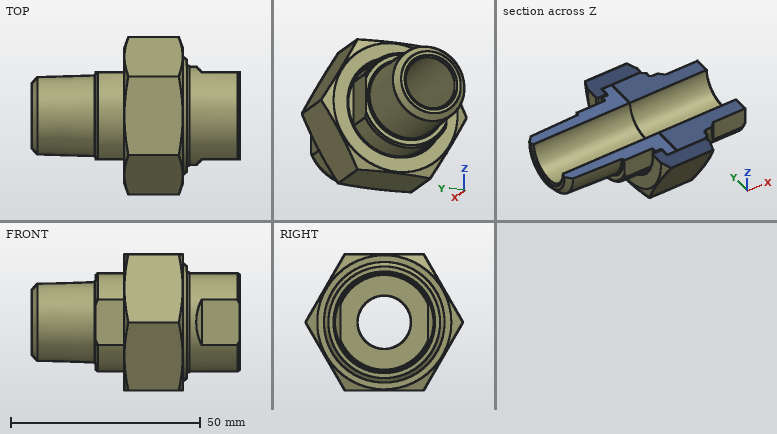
import cadquery as cq
import math


total_length = 55.0
bore_radius = 14.0 / 2
collar_radius = 26.0 / 2
flange_radius = 31.85 / 2
spanner_width = 23.05

nut_start = 24.4
nut_end = 40.0
nut_width = 36.0
nut_corner_radius = nut_width / 2 / math.cos(math.radians(30))
nut_face_radius = 17.7
nut_chamfer_angle = 20.0
nut_bore_radius = 26.5 / 2
nut_bore_chamfer = 0.5
nut_shoulder_x = 27.5

flange_end = 30.8
taper_start = 1.55
taper_end = 16.55
tip_radius = 8.5
taper_start_radius = 10.25
taper_end_radius = 10.65
collar_start = 16.95
taper_root_radius = 11.05
tail_chamfer = 0.55
tail_flat_end = 25.75
bore_chamfer = 0.5

rim_chamfer_length = 1.3
rim_end = 41.0
rim_end_radius = 29.5 / 2
neck_end = 41.75
neck_root_radius = 13.4
body_chamfer_length = 0.7
body_chamfer_height = 0.5
body_flat_start = 44.95


def revolve_profile(points):
    """Turn a closed (x, radius) outline around the X axis."""
    return cq.Workplane("XY").polyline(points).close().revolve(360, (0, 0, 0), (1, 0, 0))


def flat_cutters(outline):
    """Extrude an (x, y) outline through Z, with its mirror image on the -Y side."""
    cutter = cq.Workplane("XY").polyline(outline).close().extrude(total_length, both=True)
    return cutter.union(cutter.mirror("XZ"))


def make_tail_piece():
    turned = revolve_profile([
        (0, bore_radius + bore_chamfer),
        (0, tip_radius),
        (taper_start, taper_start_radius),
        (taper_end, taper_end_radius),
        (collar_start, taper_root_radius),
        (collar_start, collar_radius - tail_chamfer),
        (collar_start + tail_chamfer, collar_radius),
        (nut_shoulder_x, collar_radius),
        (nut_shoulder_x, flange_radius),
        (flange_end, flange_radius),
        (flange_end, bore_radius),
        (bore_chamfer, bore_radius),
    ])
    flats = flat_cutters([
        (taper_end, spanner_width / 2),
        (tail_flat_end, spanner_width / 2),
        (tail_flat_end, flange_radius),
        (taper_end, flange_radius),
    ])
    return turned.cut(flats)


def make_union_body():
    turned = revolve_profile([
        (flange_end, bore_radius),
        (flange_end, flange_radius),
        (rim_end - rim_chamfer_length, flange_radius),
        (rim_end, rim_end_radius),
        (rim_end, neck_root_radius),
        (neck_end, collar_radius),
        (total_length - body_chamfer_length, collar_radius),
        (total_length, collar_radius - body_chamfer_height),
        (total_length, bore_radius),
    ])
    flat_depth = collar_radius - spanner_width / 2
    flats = flat_cutters([
        (body_flat_start, spanner_width / 2),
        (total_length, spanner_width / 2),
        (total_length, collar_radius),
        (body_flat_start - flat_depth, collar_radius),
    ])
    return turned.cut(flats)


def make_nut():
    hexagon = (
        cq.Workplane("YZ", origin=(nut_start, 0, 0))
        .polygon(6, 2 * nut_corner_radius)
        .extrude(nut_end - nut_start)
    )
    chamfer_length = (nut_corner_radius - nut_face_radius) * math.tan(math.radians(nut_chamfer_angle))
    envelope = revolve_profile([
        (nut_start, 0),
        (nut_start, nut_face_radius),
        (nut_start + chamfer_length, nut_corner_radius),
        (nut_end - chamfer_length, nut_corner_radius),
        (nut_end, nut_face_radius),
        (nut_end, 0),
    ])
    stepped_bore = revolve_profile([
        (nut_start, 0),
        (nut_start, nut_bore_radius + nut_bore_chamfer),
        (nut_start + nut_bore_chamfer, nut_bore_radius),
        (nut_shoulder_x, nut_bore_radius),
        (nut_shoulder_x, flange_radius),
        (nut_end, flange_radius),
        (nut_end, 0),
    ])
    return hexagon.intersect(envelope).cut(stepped_bore)


tail_piece = make_tail_piece()
union_body = make_union_body()
nut = make_nut()

result = cq.Compound.makeCompound([
    tail_piece.solids().val(),
    union_body.solids().val(),
    nut.solids().val(),
])